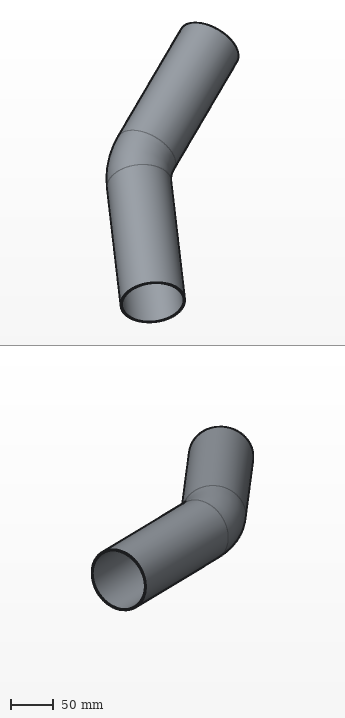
import cadquery as cq
import math

outer_diameter = 76.0
inner_diameter = 72.0
leg_length = 176.0
bend_radius = 92.5
bend_angle = 30.0


def bend_point(angle):
    """Centreline point after turning through the given angle in degrees."""
    turn = math.radians(angle)
    return (bend_radius * (1 - math.cos(turn)), -bend_radius * math.sin(turn))


bend_end = bend_point(bend_angle)
leg_direction = math.radians(bend_angle)
free_end = (
    bend_end[0] + leg_length * math.sin(leg_direction),
    bend_end[1] - leg_length * math.cos(leg_direction),
)
centreline = (
    cq.Workplane("XY")
    .moveTo(0, leg_length)
    .lineTo(0, 0)
    .threePointArc(bend_point(bend_angle / 2), bend_end)
    .lineTo(*free_end)
)

result = (
    cq.Workplane("XZ", origin=(0, leg_length, 0))
    .circle(outer_diameter / 2)
    .circle(inner_diameter / 2)
    .sweep(centreline)
)